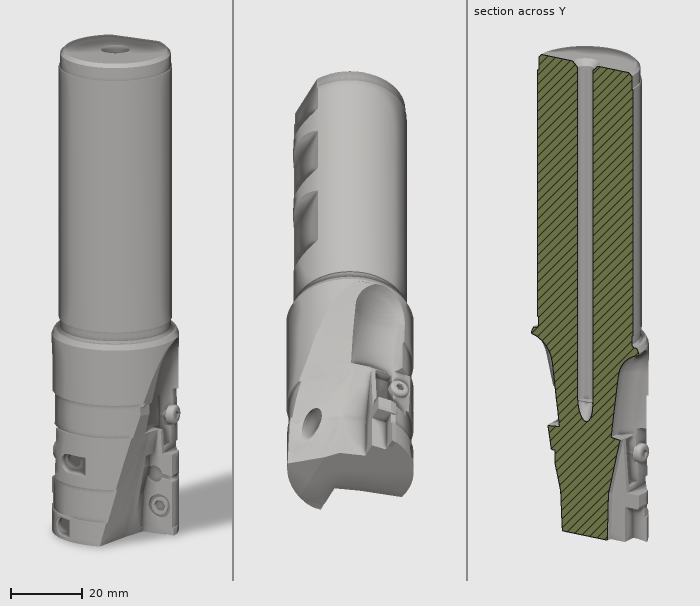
import cadquery as cq

top_z = 141.0
shank_radius = 16.0
neck_radius = 15.6
head_radius = 17.95
relief_radius = 17.3
nose_radius = 17.7

end_length = 4.8
end_chamfer = 1.0
neck_top_z = 62.5
collar_z = 59.2
collar_chamfer = 1.5
collar_chamfer_width = 0.7
neck_bevel = 0.6
flat_y = 13.5
flat_ramp = 2.1
flat_spans = [(0, 13.1), (21.7, 36.0), (44.8, 63.8)]

bore_radius = 2.5
bore_mouth_radius = 4.2
bore_mouth_depth = 1.7
bore_bottom_z = 40.0
outlet_radius = 2.4
outlet_point = cq.Vector(-1.5, 13.5, 10.6)
outlet_overrun = 1.25

front_reliefs = [(6.9, 16.7), (31.7, 41.5)]
back_relief_bottom = 15.5
back_relief_top = 25.0
heel_y = 9.0
heel_rise = 1.5

seat_y = -1.3
flute_outer_y = 19.0
left_flute_sections = [(-1.0, -7.8, -6.0, 5.8, 8.0), (14.0, -8.2, -6.2, 5.2, 3.0),
                       (30.0, -11.8, -10.8, 3.2, -6.3), (57.0, -20.0, -18.0, 0.0, -15.0)]
right_flute_sections = [(-1.0, -7.8, -5.8, 5.8, -3.2), (30.0, -12.6, -12.0, 3.2, -11.0),
                        (57.0, -19.0, -18.0, 0.0, -17.5)]
gullet_radius = 9.0
gullet_start = cq.Vector(-19.5, -3.0, 48.7)
gullet_end = cq.Vector(-17.5, -1.5, 30.0)

pocket_wall_y = -13.2
left_pocket_z = (14.7, 31.7)
left_pocket_x = (13.1, 11.8)
right_pocket_z = (23.6, 40.5)
right_pocket_x = (14.0, 13.2)
slot_y = (-7.7, -2.6)
slot_margin = 1.5
slot_depth = 3.0

screw_y = -9.4
head_of_screw_radius = 2.8
head_of_screw_length = 2.2
head_of_screw_round = 0.9
stem_radius = 1.8
stem_length = 6.0
socket_size = 2.6
socket_depth = 1.2
left_screw_z = 24.3
right_screw_z = 33.0
left_screw_tip = 14.0
right_screw_tip = 14.7

insert_thickness = 5.6
seat_opening = 4.0
seat_mouth_x = -15.0
tip_recess_x = -12.5
tip_recess_y = -5.6
tip_recess_top = 10.5
insert_screw_x = 13.2
insert_screw_z = 8.2
insert_screw_radius = 3.4
insert_screw_depth = 0.8
insert_head_radius = 2.5
insert_socket_size = 3.6
hollow_x = 11.6
hollow_z = 17.4
hollow_radius = 2.4
breaker_width = 1.4
breaker_depth = 1.0
breaker_length = 9.0
breaker_tilt = 8.0

windows = [(-6.6, 22.8, 2.8, -0.6), (-9.5, 3.6, 2.7, -6.1)]
window_floor_y = -13.0
window_hole_radius = 2.1
window_hole_depth = 2.0

big = 3 * head_radius


def half_turn(shape):
    return shape.rotate((0, 0, 0), (0, 0, 1), 180)


def side_prism(points, y_from, y_to):
    """Prism with an X-Z outline, reaching from one Y to another."""
    length = y_from - y_to
    return cq.Workplane("XZ", origin=(0, y_from, 0)).polyline(points).close().extrude(length)


def block(x_span, y_span, z_span):
    size = [span[1] - span[0] for span in (x_span, y_span, z_span)]
    return cq.Workplane("XY").box(*size, centered=False).translate((x_span[0], y_span[0], z_span[0]))


def rod(start, end, radius):
    path = end - start
    return cq.Workplane(cq.Solid.makeCylinder(radius, path.Length, start, path))


def shank():
    end_z = top_z - end_length
    profile = [
        (0, collar_z - collar_chamfer), (head_radius, collar_z - collar_chamfer),
        (head_radius - collar_chamfer_width, collar_z), (neck_radius + neck_bevel, collar_z),
        (neck_radius, collar_z + neck_bevel),
        (neck_radius, neck_top_z), (shank_radius, neck_top_z), (shank_radius, end_z),
        (neck_radius, end_z), (neck_radius, top_z - end_chamfer),
        (neck_radius - end_chamfer, top_z), (0, top_z),
    ]
    return cq.Workplane("XZ").polyline(profile).close().revolve(360, (0, 0, 0), (0, 1, 0))


def clamping_flats():
    """Flats on the +Y side, separated by teeth with sloping flanks; the top one ends in a bevel."""
    outer_y = shank_radius + 1
    ramp = flat_ramp * (outer_y - flat_y) / (shank_radius - flat_y)
    outlines = []
    for upper, lower in flat_spans:
        high = top_z - upper
        low = top_z - lower
        outlines.append([(flat_y, low), (outer_y, low - ramp), (outer_y, high + ramp), (flat_y, high)])
    bevel_z = top_z - end_chamfer
    outlines.append([(flat_y - end_chamfer, top_z), (flat_y, bevel_z), (outer_y, bevel_z), (outer_y, top_z)])
    cuts = cq.Workplane("YZ")
    for outline in outlines:
        cuts = cuts.add(cq.Workplane("YZ").polyline(outline).close().extrude(shank_radius, both=True))
    return cuts.combine()


def head_half(bands, side):
    """Stacked half discs; each band is (bottom Z, top Z, radius)."""
    column = None
    for low, high, radius in bands:
        disc = cq.Workplane("XY", origin=(0, 0, low)).circle(radius).extrude(high - low)
        column = disc if column is None else column.union(disc)
    y_span = (0, big) if side > 0 else (-big, 0)
    return column.intersect(block((-big, big), y_span, (0, top_z)))


def head():
    top = collar_z - collar_chamfer
    (low_1, high_1), (low_2, high_2) = front_reliefs
    front_bands = [(0, low_1, head_radius), (low_1, high_1, relief_radius),
                   (high_1, low_2, head_radius), (low_2, high_2, relief_radius),
                   (high_2, top, head_radius)]
    back_bands = [(0, back_relief_bottom, nose_radius),
                  (back_relief_bottom, back_relief_top, relief_radius),
                  (back_relief_top, top, head_radius)]
    heel_points = [(heel_y, 0), (head_radius, heel_rise), (head_radius, -1), (heel_y, -1)]
    heel = cq.Workplane("YZ").polyline(heel_points).close().extrude(big, both=True)
    return head_half(front_bands, -1).union(head_half(back_bands, 1)).cut(heel)


def flute(sections):
    """Twisting two-sided wall above the insert seat, closed at the top by a ball-ended gullet."""
    def stretch(lower, upper):
        wires = []
        for z, seat_x, crease_x, crease_y, outer_x in (lower, upper):
            points = [(seat_x, seat_y), (crease_x, crease_y), (outer_x, flute_outer_y),
                      (-big, flute_outer_y), (-big, seat_y)]
            wires.append(cq.Wire.makePolygon([cq.Vector(x, y, z) for x, y in points], close=True))
        return cq.Workplane(cq.Solid.makeLoft(wires, True))

    gullet = rod(gullet_start, gullet_end, gullet_radius)
    ball = cq.Workplane("XY").sphere(gullet_radius).translate(gullet_start.toTuple())
    cut = gullet.union(ball)
    for lower, upper in zip(sections, sections[1:]):
        cut = cut.union(stretch(lower, upper))
    return cut


def screw_pocket(z_span, wall_span):
    """Open pocket on the -X side with a leaning wall and a deeper seat slot."""
    low, high = z_span
    points = [(-wall_span[0], low), (-wall_span[1], high), (-big, high), (-big, low)]
    pocket = side_prism(points, big / 2, pocket_wall_y)
    slot_x = (-big, -wall_span[1] + slot_depth)
    return pocket.union(block(slot_x, slot_y, (low + slot_margin, high - slot_margin)))


def coolant_bore():
    mouth_z = top_z - bore_mouth_depth
    profile = [(0, bore_bottom_z), (bore_radius, bore_bottom_z), (bore_radius, mouth_z),
               (bore_mouth_radius, top_z), (0, top_z)]
    bore = cq.Workplane("XZ").polyline(profile).close().revolve(360, (0, 0, 0), (0, 1, 0))
    start = cq.Vector(0, 0, bore_bottom_z)
    outlet = rod(start, start + (outlet_point - start) * outlet_overrun, outlet_radius)
    return bore.union(outlet)


def relief_window(x, z, radius, straight_x):
    reach = big + window_floor_y
    plane = cq.Workplane("XZ", origin=(0, window_floor_y, 0))
    outline = (plane.moveTo(x, z + radius).lineTo(straight_x, z + radius)
               .lineTo(straight_x, z - radius).lineTo(x, z - radius)
               .threePointArc((x - radius, z), (x, z + radius)).close())
    hole = (cq.Workplane("XZ", origin=(0, window_floor_y + window_hole_depth, 0))
            .center(x, z).circle(window_hole_radius).extrude(window_hole_depth))
    return outline.extrude(reach).union(hole)


long_outline = [(7.8, 1.4), (17.6, 0), (17.6, 2.2), (17.1, 2.2), (17.1, 15.5), (16.4, 16.5),
                (17.1, 17.5), (17.1, 23.6), (10.2, 23.6), (10.2, 20), (8.3, 12)]
short_outline = [(-8, 0.8), (-17, -0.4), (-17, 6.9), (-16.2, 6.9), (-16.2, 10.5), (-16.8, 10.5),
                 (-17.2, 11.2), (-17.2, 14.7), (-9, 14.7)]
envelope = cq.Workplane("XY", origin=(0, 0, -1)).circle(head_radius).extrude(collar_z)


def long_insert():
    """Insert on the +X side, facing -Y, with its screw head, hollow and chip breaker."""
    face_y = -seat_y
    blank = side_prism(long_outline, face_y + insert_thickness, face_y).intersect(envelope)
    face = cq.Workplane("XZ", origin=(0, face_y, 0))
    at_screw = face.center(insert_screw_x, insert_screw_z)
    ring = at_screw.circle(insert_screw_radius).circle(insert_head_radius).extrude(-insert_screw_depth)
    socket = at_screw.polygon(6, insert_socket_size).extrude(-socket_depth)
    hollow = face.center(hollow_x, hollow_z).circle(hollow_radius).extrude(-breaker_depth)
    breaker = (face.center(hollow_x + breaker_length / 2, hollow_z)
               .rect(breaker_length, breaker_width).extrude(-breaker_depth))
    breaker = breaker.rotate((hollow_x, 0, hollow_z), (hollow_x, 1, hollow_z), breaker_tilt)
    return blank.cut(ring).cut(socket).cut(hollow).cut(breaker)


def short_insert():
    """Insert on the -X side, facing +Y."""
    blank = side_prism(short_outline, seat_y, seat_y - insert_thickness).intersect(envelope)
    return blank.cut(tip_recess())


def tip_recess():
    """Space in front of the lower part of the short insert."""
    return block((-big, tip_recess_x), (tip_recess_y, big), (-1, tip_recess_top))


def seat_mouth(height):
    """Opening that frees the outer edge of an insert on the -X side."""
    return block((-big, seat_mouth_x), (seat_y - insert_thickness, big), (-1, height))


def screw_blank(tip, z):
    """Screw without its socket, lying along X with its rounded head standing out toward -X."""
    head_part = (cq.Workplane("YZ", origin=(-tip, screw_y, z)).circle(head_of_screw_radius)
                 .extrude(head_of_screw_length).faces("<X").edges().fillet(head_of_screw_round))
    shoulder = -tip + head_of_screw_length
    stem = cq.Workplane("YZ", origin=(shoulder, screw_y, z)).circle(stem_radius).extrude(stem_length)
    return head_part.union(stem)


def screw_socket(tip, z):
    return cq.Workplane("YZ", origin=(-tip, screw_y, z)).polygon(6, socket_size).extrude(socket_depth)


left_screw_blank = screw_blank(left_screw_tip, left_screw_z)
right_screw_blank = half_turn(screw_blank(right_screw_tip, right_screw_z))
left_screw = left_screw_blank.cut(screw_socket(left_screw_tip, left_screw_z))
right_screw = right_screw_blank.cut(half_turn(screw_socket(right_screw_tip, right_screw_z)))
long_tip = long_insert()
short_tip = short_insert()

holder = shank().union(head()).cut(clamping_flats())
holder = holder.cut(flute(left_flute_sections)).cut(half_turn(flute(right_flute_sections)))
holder = holder.cut(screw_pocket(left_pocket_z, left_pocket_x))
holder = holder.cut(half_turn(screw_pocket(right_pocket_z, right_pocket_x)))
holder = holder.cut(coolant_bore())
for window in windows:
    holder = holder.cut(relief_window(*window))

holder = holder.cut(side_prism(long_outline, -seat_y + insert_thickness, -seat_y - seat_opening))
holder = holder.cut(side_prism(short_outline, seat_y + seat_opening, seat_y - insert_thickness))
holder = holder.cut(seat_mouth(left_pocket_z[0])).cut(tip_recess())
holder = holder.cut(half_turn(seat_mouth(right_pocket_z[0])))
holder = holder.cut(left_screw_blank).cut(right_screw_blank)

result = cq.Compound.makeCompound([
    holder.val(), long_tip.val(), short_tip.val(), left_screw.val(), right_screw.val(),
])